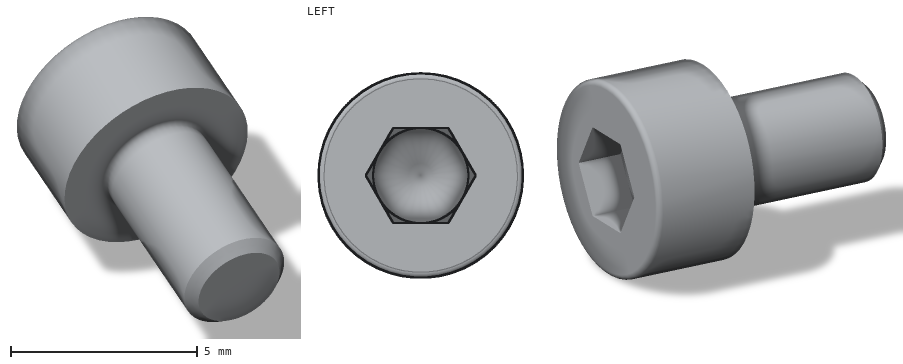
import cadquery as cq
import math

head_diameter = 5.5
head_height = 3.0
head_edge_radius = 0.15
shank_diameter = 3.0
shank_length = 5.0
tip_chamfer = 0.285
neck_radius = 0.1

socket_across_flats = 2.56
socket_depth = 1.3
cone_tip_angle = 120.0

head_radius = head_diameter / 2
shank_radius = shank_diameter / 2
head_top = -head_height

arc_inset = 1 - math.sqrt(0.5)


def make_body():
    """Revolve the half profile of head and shank about the X axis."""
    edge_inset = head_edge_radius * arc_inset
    neck_inset = neck_radius * arc_inset
    profile = (
        cq.Workplane("XZ")
        .moveTo(head_top, 0)
        .lineTo(head_top, head_radius - head_edge_radius)
        .threePointArc(
            (head_top + edge_inset, head_radius - edge_inset),
            (head_top + head_edge_radius, head_radius),
        )
        .lineTo(0, head_radius)
        .lineTo(0, shank_radius + neck_radius)
        .threePointArc(
            (neck_inset, shank_radius + neck_inset),
            (neck_radius, shank_radius),
        )
        .lineTo(shank_length - tip_chamfer, shank_radius)
        .lineTo(shank_length, shank_radius - tip_chamfer)
        .lineTo(shank_length, 0)
        .close()
    )
    return profile.revolve(360, (0, 0, 0), (1, 0, 0))


def make_socket():
    """Hexagonal prism with flats facing +Z and -Z, ending in a cone."""
    across_corners = socket_across_flats / math.cos(math.pi / 6)
    hexagon = (
        cq.Workplane("YZ", origin=(head_top, 0, 0))
        .polygon(6, across_corners)
        .extrude(socket_depth)
    )
    cone_radius = socket_across_flats / 2
    cone_height = cone_radius / math.tan(math.radians(cone_tip_angle / 2))
    cone_base = cq.Vector(head_top + socket_depth, 0, 0)
    cone = cq.Solid.makeCone(cone_radius, 0, cone_height, cone_base, cq.Vector(1, 0, 0))
    return hexagon.union(cq.Workplane(cone))


result = make_body().cut(make_socket())